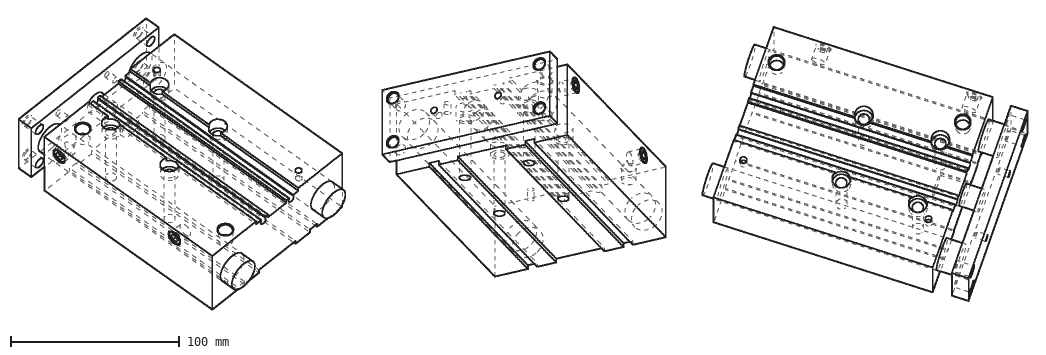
import cadquery as cq
import math

TOTAL_LENGTH = 168.5
HOUSING_WIDTH = 112.0
HOUSING_HEIGHT = 48.0
HOUSING_FRONT_X = 22.0
HOUSING_BACK_X = 159.2
HOUSING_LENGTH = HOUSING_BACK_X - HOUSING_FRONT_X
MID_Z = HOUSING_HEIGHT / 2

PLATE_THICKNESS = 10.5
PLATE_WIDTH = 110.0
PLATE_HEIGHT = 43.8
GUIDE_ROD_DIAMETER = 20.0
GUIDE_ROD_SPACING = 78.0
PISTON_ROD_DIAMETER = 14.0
PISTON_ROD_INSERTION = 16.8

PLATE_SCREW_DIAMETER = 6.7
PLATE_SCREW_RIM_DIAMETER = 8.1
PLATE_SCREW_SPACING_Y = 96.0
PLATE_SCREW_SPACING_Z = 30.0
DOWEL_DIAMETER = 4.0
DOWEL_DEPTH = 6.7

CHANNEL_DEPTH = 2.5
TOP_RECESS_WIDTH = 36.4
TOP_FLOOR_WIDTH = 15.7
TOP_FLOOR_DEPTH = 2.2
SENSOR_SLOT_WIDTH = 3.5
SENSOR_GROOVE_DIAMETER = 4.4
SENSOR_GROOVE_AXIS_DEPTH = 2.2
SENSOR_GROOVE_Y = 12.0

BOTTOM_CHANNEL_WIDTH = 31.5
BOTTOM_SLOT_WIDTH = 6.0
BOTTOM_SLOT_Y = 31.3

MOUNT_HOLE_DIAMETER = 6.5
MOUNT_BORE_DIAMETER = 11.0
MOUNT_BORE_DEPTH = 8.0
MOUNT_SPACING_Y = 42.0
MOUNT_HOLE_XS = (43.1, 91.0)

PORT_DIAMETER = 8.6
PORT_RIM_DIAMETER = 9.8
PORT_DEPTH = 9.3
FRONT_PORT_X = 34.0
TOP_PORT_XS = (FRONT_PORT_X, 150.5)
TOP_PORT_Y = -35.5
SIDE_PORT_XS = (FRONT_PORT_X, 128.2)
SIDE_PORT_Z = 40.0
TOP_DOWEL_XS = (FRONT_PORT_X, 149.8)
TOP_DOWEL_Y = 28.3

HEX_ACROSS_FLATS = 4.5
HEX_DEPTH = 2.5

DRILL_POINT_ANGLE = 118.0

X_DIR = cq.Vector(1, 0, 0)
Y_DIR = cq.Vector(0, 1, 0)
DOWN = cq.Vector(0, 0, -1)
BOTH_SIDES = (-1, 1)


def cylinder(start, direction, diameter, length):
    return cq.Workplane(cq.Solid.makeCylinder(diameter / 2, length, cq.Vector(*start), direction))


def rim_chamfer(start, direction, rim_diameter, hole_diameter):
    """Cutter for a 45 degree chamfer around a hole mouth."""
    depth = (rim_diameter - hole_diameter) / 2
    cone = cq.Solid.makeCone(rim_diameter / 2, hole_diameter / 2, depth, cq.Vector(*start), direction)
    return cq.Workplane(cone)


def drilled_hole(start, direction, diameter, depth):
    """Cutter for a blind hole with a conical drill point beyond its full-width depth."""
    point_length = diameter / 2 / math.tan(math.radians(DRILL_POINT_ANGLE / 2))
    point_start = cq.Vector(*start) + direction * depth
    point = cq.Solid.makeCone(diameter / 2, 0, point_length, point_start, direction)
    return cylinder(start, direction, diameter, depth).union(cq.Workplane(point))


def port(start, direction):
    """Cutter for a drilled port with a chamfered mouth."""
    hole = drilled_hole(start, direction, PORT_DIAMETER, PORT_DEPTH)
    return hole.union(rim_chamfer(start, direction, PORT_RIM_DIAMETER, PORT_DIAMETER))


def housing_channel(center_y, width, bottom_z, top_z):
    """Rectangular cutter running the full length of the housing."""
    return cq.Workplane().box(
        HOUSING_LENGTH, width, top_z - bottom_z, centered=(False, True, False)
    ).translate((HOUSING_FRONT_X, center_y, bottom_z))


def sensor_groove(center_y, ledge_z):
    """Round groove running the full length of the housing, opened upwards by a narrower slot."""
    axis_z = ledge_z - SENSOR_GROOVE_AXIS_DEPTH
    groove = cylinder((HOUSING_FRONT_X, center_y, axis_z), X_DIR, SENSOR_GROOVE_DIAMETER, HOUSING_LENGTH)
    return groove.union(housing_channel(center_y, SENSOR_SLOT_WIDTH, axis_z, ledge_z))


def cut_top_profile(body):
    ledge_z = HOUSING_HEIGHT - CHANNEL_DEPTH
    body = body.cut(housing_channel(0, TOP_RECESS_WIDTH, ledge_z, HOUSING_HEIGHT))
    body = body.cut(housing_channel(0, TOP_FLOOR_WIDTH, ledge_z - TOP_FLOOR_DEPTH, ledge_z))
    for side in BOTH_SIDES:
        body = body.cut(sensor_groove(side * SENSOR_GROOVE_Y, ledge_z))
    return body


def cut_bottom_profile(body):
    body = body.cut(housing_channel(0, BOTTOM_CHANNEL_WIDTH, 0, CHANNEL_DEPTH))
    for side in BOTH_SIDES:
        body = body.cut(housing_channel(side * BOTTOM_SLOT_Y, BOTTOM_SLOT_WIDTH, 0, CHANNEL_DEPTH))
    return body


def cut_mounting_holes(body):
    for x in MOUNT_HOLE_XS:
        for side in BOTH_SIDES:
            top = (x, side * MOUNT_SPACING_Y / 2, HOUSING_HEIGHT)
            body = body.cut(cylinder(top, DOWN, MOUNT_HOLE_DIAMETER, HOUSING_HEIGHT))
            body = body.cut(cylinder(top, DOWN, MOUNT_BORE_DIAMETER, MOUNT_BORE_DEPTH))
    return body


def cut_ports_and_dowel_holes(body):
    for x in TOP_PORT_XS:
        body = body.cut(port((x, TOP_PORT_Y, HOUSING_HEIGHT), DOWN))
    for x in SIDE_PORT_XS:
        body = body.cut(port((x, -HOUSING_WIDTH / 2, SIDE_PORT_Z), Y_DIR))
    for x in TOP_DOWEL_XS:
        body = body.cut(cylinder((x, TOP_DOWEL_Y, HOUSING_HEIGHT), DOWN, DOWEL_DIAMETER, DOWEL_DEPTH))
    return body


def make_rods():
    """Two guide rods running to the back end, and the shorter piston rod between them."""
    guide_length = TOTAL_LENGTH - PLATE_THICKNESS
    piston_length = HOUSING_FRONT_X + PISTON_ROD_INSERTION - PLATE_THICKNESS
    rods = [cylinder((PLATE_THICKNESS, 0, MID_Z), X_DIR, PISTON_ROD_DIAMETER, piston_length)]
    for side in BOTH_SIDES:
        start = (PLATE_THICKNESS, side * GUIDE_ROD_SPACING / 2, MID_Z)
        rods.append(cylinder(start, X_DIR, GUIDE_ROD_DIAMETER, guide_length))
    return rods


def make_housing():
    body = cq.Workplane().box(
        HOUSING_LENGTH, HOUSING_WIDTH, HOUSING_HEIGHT, centered=(False, True, False)
    ).translate((HOUSING_FRONT_X, 0, 0))
    body = cut_top_profile(body)
    body = cut_bottom_profile(body)
    body = cut_mounting_holes(body)
    body = cut_ports_and_dowel_holes(body)
    for rod in make_rods():
        body = body.cut(rod)
    return body


def make_moving_plate():
    """End plate carrying the guide rods and the piston rod."""
    plate = cq.Workplane().box(
        PLATE_THICKNESS, PLATE_WIDTH, PLATE_HEIGHT, centered=(False, True, True)
    ).translate((0, 0, MID_Z))
    for rod in make_rods():
        plate = plate.union(rod)
    for side_y in BOTH_SIDES:
        dowel_start = (0, side_y * MOUNT_SPACING_Y / 2, MID_Z)
        plate = plate.cut(drilled_hole(dowel_start, X_DIR, DOWEL_DIAMETER, DOWEL_DEPTH))
        for side_z in BOTH_SIDES:
            start = (0, side_y * PLATE_SCREW_SPACING_Y / 2, MID_Z + side_z * PLATE_SCREW_SPACING_Z / 2)
            plate = plate.cut(cylinder(start, X_DIR, PLATE_SCREW_DIAMETER, PLATE_THICKNESS))
            plate = plate.cut(rim_chamfer(start, X_DIR, PLATE_SCREW_RIM_DIAMETER, PLATE_SCREW_DIAMETER))
    return plate


def make_port_plug(x):
    """Plug flush with the side face, with a hexagonal socket whose flats face up and down."""
    face = (x, -HOUSING_WIDTH / 2, SIDE_PORT_Z)
    corner_diameter = HEX_ACROSS_FLATS / math.cos(math.pi / 6)
    socket = cq.Workplane("XZ", origin=face).polygon(6, corner_diameter).extrude(-HEX_DEPTH)
    return cylinder(face, Y_DIR, PORT_DIAMETER, PORT_DEPTH).cut(socket)


housing = make_housing()
moving_plate = make_moving_plate()
port_plugs = [make_port_plug(x).val() for x in SIDE_PORT_XS]

result = cq.Compound.makeCompound([housing.val(), moving_plate.val(), *port_plugs])